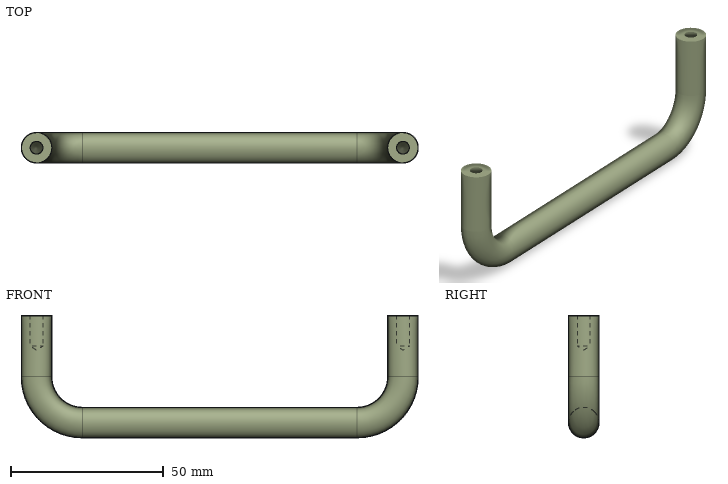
import cadquery as cq
import math

overall_length = 130.0
overall_height = 40.0
rod_diameter = 10.0

bend_radius = 1.5 * rod_diameter
hole_diameter = 4.2
hole_depth = 10.0
drill_point_angle = 118.0

rod_radius = rod_diameter / 2
leg_x = (overall_length - rod_diameter) / 2
leg_top = overall_height
grip_z = rod_radius


def bent_rod():
    """Round rod swept down one leg, along the grip and up the other leg."""
    bend_start_z = grip_z + bend_radius
    grip_end_x = leg_x - bend_radius
    centre_line = (
        cq.Workplane("XZ")
        .moveTo(-leg_x, leg_top)
        .lineTo(-leg_x, bend_start_z)
        .radiusArc((-grip_end_x, grip_z), -bend_radius)
        .lineTo(grip_end_x, grip_z)
        .radiusArc((leg_x, bend_start_z), -bend_radius)
        .lineTo(leg_x, leg_top)
    )
    leg_end = cq.Workplane("XY", origin=(-leg_x, 0, leg_top))
    return leg_end.circle(rod_radius).sweep(centre_line)


def mounting_hole(x):
    """Blind drilled hole with a conical bottom, going down from a leg's end."""
    hole_radius = hole_diameter / 2
    half_point_angle = math.radians(drill_point_angle / 2)
    point_depth = hole_radius / math.tan(half_point_angle)
    profile = (
        cq.Workplane("XZ")
        .lineTo(hole_radius, 0)
        .lineTo(hole_radius, -hole_depth)
        .lineTo(0, -hole_depth - point_depth)
        .close()
    )
    drill = profile.revolve(360, (0, 0, 0), (0, 1, 0))
    return drill.translate((x, 0, leg_top))


result = bent_rod()
for hole_x in (-leg_x, leg_x):
    result = result.cut(mounting_hole(hole_x))